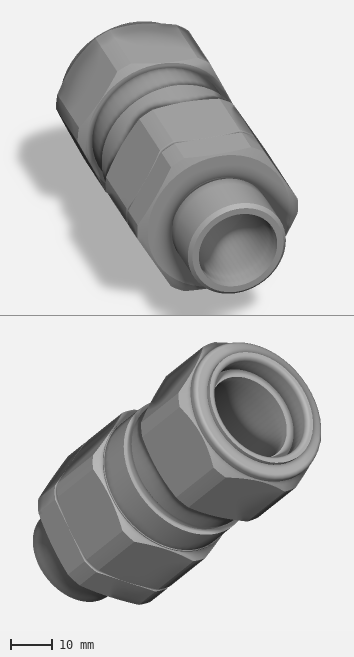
import cadquery as cq
import math

TOTAL_LENGTH = 84.45

HEX_FLATS = 37.5
HEX_CORNER_RADIUS = 20.6
CHAMFER_LENGTH = 1.1
CHAMFER_RADIUS = 18.7
NUT_TILT = -5.0

SLEEVE_RADIUS = 14.95
SLEEVE_LIP_FILLET = 1.1
RING_START = 1.1
RING_RADIUS = 18.5
RING_FILLET = 1.0

NUT_START = 3.2
NUT_END = 23.3
NUT_ENTRY_CHAMFER = HEX_CORNER_RADIUS - RING_RADIUS

BARREL_RADIUS = 17.2
BARREL_CHAMFER_START = 31.7
GROOVE_START = 32.8
GROOVE_END = 32.9
GROOVE_RADIUS = 16.05
COLLAR_START = 33.7
COLLAR_RADIUS = 18.2
COLLAR_EDGE_RADIUS = GROOVE_RADIUS + COLLAR_START - GROOVE_END

BODY_START = 42.4
BODY_END = 61.1
BODY_RIM_RADIUS = 18.5
BODY_RIM_LENGTH = 0.3
BODY_ENTRY_CHAMFER = 1.3

ADAPTER_END = 69.5
ADAPTER_CHAMFER_LENGTH = 0.85
ADAPTER_CHAMFER_RADIUS = COLLAR_RADIUS
SEAT_LENGTH = 0.25
SEAT_RADIUS = 12.1
THREAD_RADIUS = 12.6
THREAD_ROOT_RADIUS = 11.65
THREAD_CHAMFER = THREAD_RADIUS - THREAD_ROOT_RADIUS
RELIEF_LENGTH = 0.4

ENTRY_BORE_RADIUS = 13.1
ENTRY_BORE_DEPTH = 5.8
MAIN_BORE_RADIUS = 11.1
EXIT_BORE_RADIUS = 10.05
EXIT_BORE_START = BODY_END


def turned(profile):
    """Revolve an outline of (station, radius) points about X, closed along the axis."""
    closed = [(profile[0][0], 0)] + profile + [(profile[-1][0], 0)]
    return cq.Workplane("XY").polyline(closed).close().revolve(360, (0, 0, 0), (1, 0, 0))


def cylinder(start, end, radius):
    return turned([(start, radius), (end, radius)])


def turned_hexagon(profile, tilt=0.0):
    """Hexagon prism with corners on the Y axis, trimmed by a turned profile."""
    start = profile[0][0]
    length = profile[-1][0] - start
    across_corners = HEX_FLATS / math.cos(math.radians(30))
    prism = (
        cq.Workplane("YZ")
        .workplane(offset=start)
        .polygon(6, across_corners)
        .extrude(length)
        .rotate((0, 0, 0), (1, 0, 0), tilt)
    )
    return prism.intersect(turned(profile))


def entry_sleeve():
    return cylinder(0, NUT_START, SLEEVE_RADIUS)


def entry_ring():
    return cylinder(RING_START, NUT_START, RING_RADIUS).faces("<X").edges().fillet(RING_FILLET)


def compression_nut():
    profile = [
        (NUT_START, RING_RADIUS),
        (NUT_START + NUT_ENTRY_CHAMFER, HEX_CORNER_RADIUS),
        (NUT_END - CHAMFER_LENGTH, HEX_CORNER_RADIUS),
        (NUT_END, CHAMFER_RADIUS),
    ]
    return turned_hexagon(profile, NUT_TILT)


def barrel_and_collar():
    return turned([
        (NUT_END, BARREL_RADIUS),
        (BARREL_CHAMFER_START, BARREL_RADIUS),
        (GROOVE_START, GROOVE_RADIUS),
        (GROOVE_END, GROOVE_RADIUS),
        (COLLAR_START, COLLAR_EDGE_RADIUS),
        (COLLAR_START, COLLAR_RADIUS),
        (BODY_START, COLLAR_RADIUS),
    ])


def body_hexagon():
    chamfer_start = BODY_START + BODY_RIM_LENGTH
    return turned_hexagon([
        (BODY_START, BODY_RIM_RADIUS),
        (chamfer_start, BODY_RIM_RADIUS),
        (chamfer_start + BODY_ENTRY_CHAMFER, HEX_CORNER_RADIUS),
        (BODY_END - CHAMFER_LENGTH, HEX_CORNER_RADIUS),
        (BODY_END, CHAMFER_RADIUS),
    ])


def adapter_hexagon():
    return turned_hexagon([
        (BODY_END, HEX_CORNER_RADIUS),
        (ADAPTER_END - ADAPTER_CHAMFER_LENGTH, HEX_CORNER_RADIUS),
        (ADAPTER_END, ADAPTER_CHAMFER_RADIUS),
    ])


def threaded_end():
    relief_start = ADAPTER_END + SEAT_LENGTH
    relief_end = relief_start + RELIEF_LENGTH
    return turned([
        (ADAPTER_END, SEAT_RADIUS),
        (relief_start, SEAT_RADIUS),
        (relief_start, THREAD_ROOT_RADIUS),
        (relief_end, THREAD_ROOT_RADIUS),
        (relief_end + THREAD_CHAMFER, THREAD_RADIUS),
        (TOTAL_LENGTH - THREAD_CHAMFER, THREAD_RADIUS),
        (TOTAL_LENGTH, THREAD_ROOT_RADIUS),
    ])


def stepped_bore():
    """Bore whose mouth flares out along a quarter round at the sleeve lip."""
    lip_radius = ENTRY_BORE_RADIUS + SLEEVE_LIP_FILLET
    lip_middle = SLEEVE_LIP_FILLET * (1 - math.sqrt(0.5))
    return (
        cq.Workplane("XY")
        .lineTo(0, lip_radius)
        .threePointArc(
            (lip_middle, ENTRY_BORE_RADIUS + lip_middle),
            (SLEEVE_LIP_FILLET, ENTRY_BORE_RADIUS),
        )
        .lineTo(ENTRY_BORE_DEPTH, ENTRY_BORE_RADIUS)
        .lineTo(ENTRY_BORE_DEPTH, MAIN_BORE_RADIUS)
        .lineTo(EXIT_BORE_START, MAIN_BORE_RADIUS)
        .lineTo(EXIT_BORE_START, EXIT_BORE_RADIUS)
        .lineTo(TOTAL_LENGTH, EXIT_BORE_RADIUS)
        .lineTo(TOTAL_LENGTH, 0)
        .close()
        .revolve(360, (0, 0, 0), (1, 0, 0))
    )


result = (
    entry_sleeve()
    .union(entry_ring())
    .union(compression_nut())
    .union(barrel_and_collar())
    .union(body_hexagon())
    .union(adapter_hexagon())
    .union(threaded_end())
    .cut(stepped_bore())
    .translate((-TOTAL_LENGTH / 2, 0, 0))
)